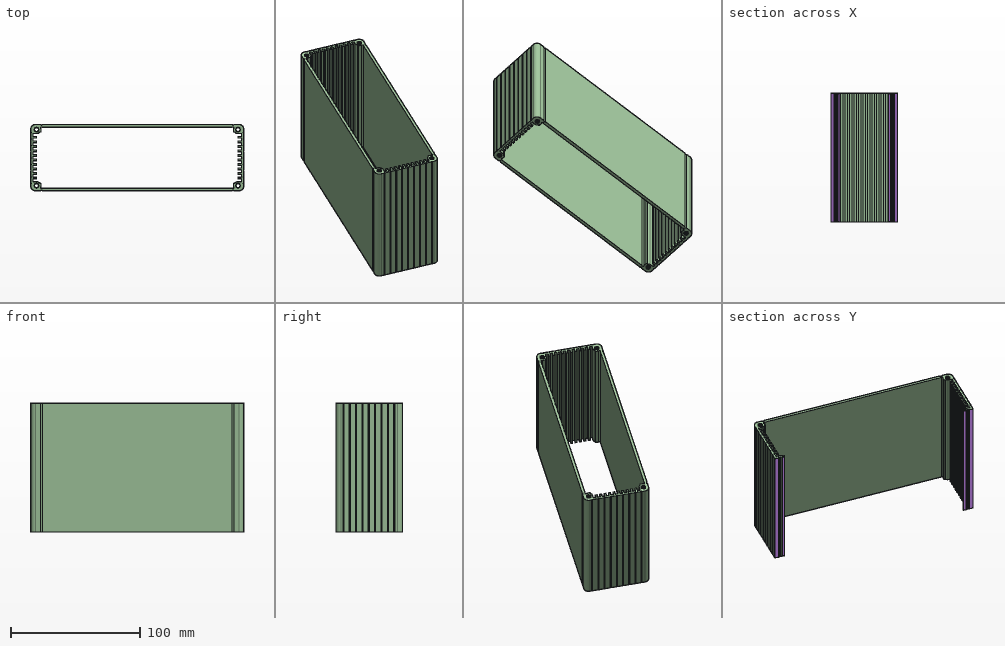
import cadquery as cq
import math

WIDTH = 165.0
DEPTH = 51.62
LENGTH = 100.0
CORNER_RADIUS = 3.9

LONG_WALL = 2.3
END_WALL = 2.0

SCREW_INSET_X = 4.5
SCREW_INSET_Y = 4.1
SCREW_HOLE_DIAMETER = 3.0
FLUTE_COUNT = 8
FLUTE_RADIUS = 0.35
FLUTE_CIRCLE_RADIUS = 1.45
BOSS_REACH_X = 8.1
BOSS_REACH_Y = 7.25
BOSS_FACE_END_Y = 5.9
BOSS_ROUND_START_Y = 6.2
BOSS_ROUND_RADIUS = 3.25
RELIEF_RADIUS = 0.75
RELIEF_INSET_X = 8.5
RELIEF_INSET_Y = 2.85

RIB_COUNT = 10
RIB_PITCH = 3.5
RIB_THICKNESS = 1.5
RIB_REACH = 4.6

LONG_GROOVE_WIDTH = 1.5
LONG_GROOVE_DEPTH = 0.6
LONG_GROOVE_INSET = 8.35
END_GROOVE_WIDTH = 0.9
END_GROOVE_DEPTH = 0.4
END_GROOVE_COUNT = 9
END_GROOVE_PITCH = 4.92
END_GROOVE_SHIFT = -0.35

HALF_WIDTH = WIDTH / 2
HALF_DEPTH = DEPTH / 2
SIDES = (-1, 1)
CORNERS = [(side_x, side_y) for side_x in SIDES for side_y in SIDES]


def centered_offsets(count, pitch):
    """Evenly spaced positions symmetric about zero."""
    return [(index - (count - 1) / 2) * pitch for index in range(count)]


def make_tube():
    """Rectangular tube with rounded outer corners."""
    outer = cq.Workplane("XY").rect(WIDTH, DEPTH).extrude(LENGTH).edges("|Z").fillet(CORNER_RADIUS)
    cavity = cq.Workplane("XY").rect(WIDTH - 2 * END_WALL, DEPTH - 2 * LONG_WALL).extrude(LENGTH)
    return outer.cut(cavity)


def from_corner(side_x, side_y, inset_x, inset_y):
    """Point measured inward from the outer faces that meet at one corner."""
    return (side_x * (HALF_WIDTH - inset_x), side_y * (HALF_DEPTH - inset_y))


def corner_points(inset_x, inset_y):
    """The same inset point at all four corners."""
    return [from_corner(side_x, side_y, inset_x, inset_y) for side_x, side_y in CORNERS]


def boss_round_x(inset_y):
    """X inset of the rounded part of the boss at a given Y inset."""
    return SCREW_INSET_X + math.sqrt(BOSS_ROUND_RADIUS**2 - (inset_y - SCREW_INSET_Y) ** 2)


def make_boss(side_x, side_y):
    """Corner boss: flat faces joined by a round concentric with the screw hole."""
    round_middle_y = (BOSS_ROUND_START_Y + BOSS_REACH_Y) / 2

    def at(inset_x, inset_y):
        return from_corner(side_x, side_y, inset_x, inset_y)

    return (
        cq.Workplane("XY")
        .moveTo(*at(END_WALL, LONG_WALL))
        .lineTo(*at(BOSS_REACH_X, LONG_WALL))
        .lineTo(*at(BOSS_REACH_X, BOSS_FACE_END_Y))
        .lineTo(*at(boss_round_x(BOSS_ROUND_START_Y), BOSS_ROUND_START_Y))
        .threePointArc(
            at(boss_round_x(round_middle_y), round_middle_y),
            at(boss_round_x(BOSS_REACH_Y), BOSS_REACH_Y),
        )
        .lineTo(*at(END_WALL, BOSS_REACH_Y))
        .close()
        .extrude(LENGTH)
    )


def make_ribs(side_x):
    """Row of card guide ribs on one end wall, rooted halfway into it."""
    root = END_WALL / 2
    center_x = side_x * (HALF_WIDTH - (root + RIB_REACH) / 2)
    centers = [(center_x, y) for y in centered_offsets(RIB_COUNT, RIB_PITCH)]
    return cq.Workplane("XY").pushPoints(centers).rect(RIB_REACH - root, RIB_THICKNESS).extrude(LENGTH)


def make_rods(centers, radius):
    """Full-length cylinders used as cutters."""
    return cq.Workplane("XY").pushPoints(centers).circle(radius).extrude(LENGTH)


def make_long_grooves():
    """Cutters for the arc grooves: cylinders whose axes lie just outside the long walls."""
    radius = (LONG_GROOVE_WIDTH**2 / 4 + LONG_GROOVE_DEPTH**2) / (2 * LONG_GROOVE_DEPTH)
    return make_rods(corner_points(LONG_GROOVE_INSET, LONG_GROOVE_DEPTH - radius), radius)


def make_end_groove(side_x, y):
    """Cutter for one V groove in an end wall."""
    face_x = side_x * HALF_WIDTH
    points = [
        (face_x, y - END_GROOVE_WIDTH / 2),
        (face_x - side_x * END_GROOVE_DEPTH, y),
        (face_x, y + END_GROOVE_WIDTH / 2),
    ]
    return cq.Workplane("XY").polyline(points).close().extrude(LENGTH)


def make_screw_holes():
    """Cutters for the fluted screw holes."""
    holes = make_rods(corner_points(SCREW_INSET_X, SCREW_INSET_Y), SCREW_HOLE_DIAMETER / 2)
    for index in range(FLUTE_COUNT):
        angle = 2 * math.pi * index / FLUTE_COUNT
        flute_x = SCREW_INSET_X + FLUTE_CIRCLE_RADIUS * math.cos(angle)
        flute_y = SCREW_INSET_Y + FLUTE_CIRCLE_RADIUS * math.sin(angle)
        holes = holes.union(make_rods(corner_points(flute_x, flute_y), FLUTE_RADIUS))
    return holes


body = make_tube()
for side_x, side_y in CORNERS:
    body = body.union(make_boss(side_x, side_y))
for side_x in SIDES:
    body = body.union(make_ribs(side_x))

boss_reliefs = make_rods(corner_points(RELIEF_INSET_X, RELIEF_INSET_Y), RELIEF_RADIUS)
body = body.cut(boss_reliefs)
body = body.cut(make_screw_holes())
body = body.cut(make_long_grooves())
for side_x in SIDES:
    for y in centered_offsets(END_GROOVE_COUNT, END_GROOVE_PITCH):
        body = body.cut(make_end_groove(side_x, y + END_GROOVE_SHIFT))

result = body